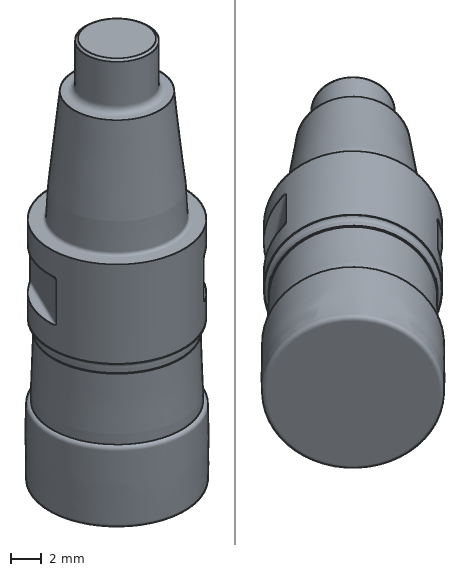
import cadquery as cq
import math

TOTAL_HEIGHT = 33.8
CAP_TOP = 6.2
NECK_TAPER_BOTTOM = 7.0
NECK_STEP = 11.5
COLLAR_BOTTOM = 12.45
COLLAR_TOP = 20.05
CONE_BREAK = 22.55
CONE_TOP = 29.8

TIP_DIAMETER = 5.5
CONE_TOP_DIAMETER = 7.5
CONE_BREAK_DIAMETER = 9.05
CONE_BOTTOM_DIAMETER = 9.3
COLLAR_DIAMETER = 11.7
NECK_TOP_DIAMETER = 11.1
NECK_TAPER_TOP_DIAMETER = 11.0
NECK_BOTTOM_DIAMETER = 11.3

TIP_CHAMFER_WIDTH = 0.2
TIP_CHAMFER_HEIGHT = 0.15
TIP_ROOT_FILLET = 0.5
CONE_ROOT_FILLET = 0.25
NECK_ROOT_WIDTH = 0.25
NECK_ROOT_HEIGHT = 0.45
NECK_STEP_HEIGHT = 0.1

FLAT_SPACING = 10.1
FLAT_HEIGHT = 3.65
FLAT_ROOT_FILLET = 0.2

CAP_DIAMETER = 12.02
CAP_END_DIAMETER = 11.94
CAP_EDGE_RADIUS = 0.3


def concave_corner(profile, corner_r, corner_z, width, height, side):
    """Add a hollow rounding between an upright wall and the flat face at its end.

    `side` is +1 when the face looks up and -1 when it looks down.
    """
    diagonal = 1 - math.sqrt(0.5)
    on_wall = (corner_r, corner_z + side * height)
    middle = (corner_r + width * diagonal, corner_z + side * height * diagonal)
    on_face = (corner_r + width, corner_z)
    if side > 0:
        return profile.lineTo(*on_wall).threePointArc(middle, on_face)
    return profile.lineTo(*on_face).threePointArc(middle, on_wall)


def turned_body():
    """Stepped shaft: tip, two-stage cone, collar and tapered neck, turned about Z."""
    tip_r = TIP_DIAMETER / 2
    cone_bottom_r = CONE_BOTTOM_DIAMETER / 2
    collar_r = COLLAR_DIAMETER / 2
    neck_top_r = NECK_TOP_DIAMETER / 2
    neck_bottom_r = NECK_BOTTOM_DIAMETER / 2

    profile = cq.Workplane("XZ").moveTo(0, CAP_TOP).lineTo(0, TOTAL_HEIGHT)
    profile = profile.lineTo(tip_r - TIP_CHAMFER_WIDTH, TOTAL_HEIGHT)
    profile = profile.lineTo(tip_r, TOTAL_HEIGHT - TIP_CHAMFER_HEIGHT)
    profile = concave_corner(profile, tip_r, CONE_TOP, TIP_ROOT_FILLET, TIP_ROOT_FILLET, 1)
    profile = profile.lineTo(CONE_TOP_DIAMETER / 2, CONE_TOP)
    profile = profile.lineTo(CONE_BREAK_DIAMETER / 2, CONE_BREAK)
    profile = concave_corner(profile, cone_bottom_r, COLLAR_TOP, CONE_ROOT_FILLET, CONE_ROOT_FILLET, 1)
    profile = profile.lineTo(collar_r, COLLAR_TOP)
    profile = profile.lineTo(collar_r, COLLAR_BOTTOM)
    profile = concave_corner(profile, neck_top_r, COLLAR_BOTTOM, NECK_ROOT_WIDTH, NECK_ROOT_HEIGHT, -1)
    profile = profile.lineTo(neck_top_r, NECK_STEP + NECK_STEP_HEIGHT)
    profile = profile.lineTo(NECK_TAPER_TOP_DIAMETER / 2, NECK_STEP)
    profile = profile.lineTo(neck_bottom_r, NECK_TAPER_BOTTOM)
    profile = profile.lineTo(neck_bottom_r, CAP_TOP)
    return profile.close().revolve(360, (0, 0, 0), (0, 1, 0))


def flat_cutter(side):
    """Block that cuts the wrench flat on the +Y (side=1) or -Y (side=-1) face of the collar."""
    flat_middle = (COLLAR_BOTTOM + COLLAR_TOP) / 2
    depth = COLLAR_DIAMETER / 2
    block = cq.Workplane("XY").box(COLLAR_DIAMETER, depth, FLAT_HEIGHT)
    block = block.faces("<Y").edges("|X").fillet(FLAT_ROOT_FILLET)
    block = block.translate((0, (FLAT_SPACING + depth) / 2, flat_middle))
    return block if side > 0 else block.mirror("XZ")


def make_body():
    body = turned_body()
    for side in (1, -1):
        body = body.cut(flat_cutter(side))
    return body


def make_cap():
    """Slightly barrelled end cap with rounded rims, butted against the bottom of the neck."""
    end_r = CAP_END_DIAMETER / 2
    rim_r = end_r - CAP_EDGE_RADIUS
    round_r = rim_r + CAP_EDGE_RADIUS * math.sqrt(0.5)
    round_z = CAP_EDGE_RADIUS * (1 - math.sqrt(0.5))
    return (
        cq.Workplane("XZ")
        .lineTo(rim_r, 0)
        .threePointArc((round_r, round_z), (end_r, CAP_EDGE_RADIUS))
        .threePointArc((CAP_DIAMETER / 2, CAP_TOP / 2), (end_r, CAP_TOP - CAP_EDGE_RADIUS))
        .threePointArc((round_r, CAP_TOP - round_z), (rim_r, CAP_TOP))
        .lineTo(0, CAP_TOP)
        .close()
        .revolve(360, (0, 0, 0), (0, 1, 0))
    )


body = make_body()
cap = make_cap()
result = cq.Compound.makeCompound([body.val(), cap.val()])